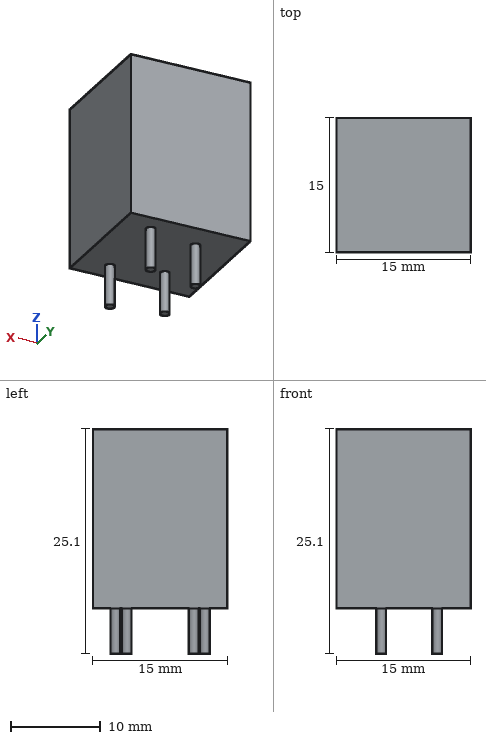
import cadquery as cq

total_height = 25.1
housing_width = 15.0
housing_height = 20.0

pin_diameter = 1.1
pin_length = total_height - housing_height
left_pin_x = -2.5
left_pin_y = 3.75
right_pin_x = 3.75
right_pin_y = 5.0

pin_positions = [
    (pair_x, side * pair_y)
    for pair_x, pair_y in [(left_pin_x, left_pin_y), (right_pin_x, right_pin_y)]
    for side in (-1, 1)
]


def make_housing():
    """Plain block, centred on the Z axis."""
    return cq.Workplane("XY").rect(housing_width, housing_width).extrude(housing_height)


def make_pin(x, y):
    """Cylinder whose upper end touches the housing underside."""
    return cq.Workplane("XY").center(x, y).circle(pin_diameter / 2).extrude(-pin_length)


housing = make_housing()
pins = [make_pin(x, y) for x, y in pin_positions]

result = cq.Compound.makeCompound([housing.val(), *[pin.val() for pin in pins]])